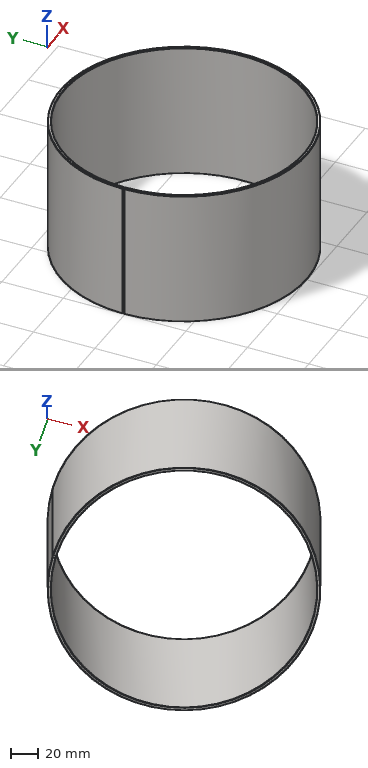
import cadquery as cq

outer_diameter = 200.0
height = 110.0
wall = 2.5
rim_chamfer = 0.5
slit_angle = 1.0

outer_radius = outer_diameter / 2
wall_middle = outer_radius - wall / 2

wall_section = (
    cq.Sketch()
    .push([(-wall_middle, 0)])
    .rect(wall, height)
    .reset()
    .vertices()
    .chamfer(rim_chamfer)
)

result = (
    cq.Workplane("XZ")
    .placeSketch(wall_section)
    .revolve(360 - slit_angle, (0, 0, 0), (0, 1, 0))
)